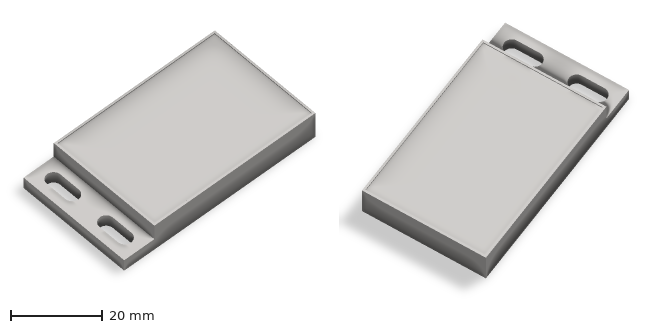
import cadquery as cq

width = 32.5
length = 57.0
height = 8.0

flange_length = 9.0
flange_thickness = 3.5

rim_width = 0.55
recess_depth = 0.3

slot_length = 10.0
slot_width = 4.0
slot_spacing = 17.0
slot_from_end = 4.55

body_length = length - flange_length
body_center_y = flange_length + body_length / 2


def make_flanged_body():
    """L-shaped side profile extruded across the width."""
    return (
        cq.Workplane("YZ")
        .moveTo(0, 0)
        .lineTo(length, 0)
        .lineTo(length, height)
        .lineTo(flange_length, height)
        .lineTo(flange_length, flange_thickness)
        .lineTo(0, flange_thickness)
        .close()
        .extrude(width / 2, both=True)
    )


def make_top_recess():
    return (
        cq.Workplane("XY", origin=(0, body_center_y, height - recess_depth))
        .rect(width - 2 * rim_width, body_length - 2 * rim_width)
        .extrude(recess_depth)
    )


def make_slots():
    """Pair of slots, symmetric about the YZ plane."""
    return (
        cq.Workplane("XY", origin=(0, slot_from_end, 0))
        .pushPoints([(-slot_spacing / 2, 0), (slot_spacing / 2, 0)])
        .slot2D(slot_length, slot_width)
        .extrude(flange_thickness)
    )


result = make_flanged_body().cut(make_top_recess()).cut(make_slots())